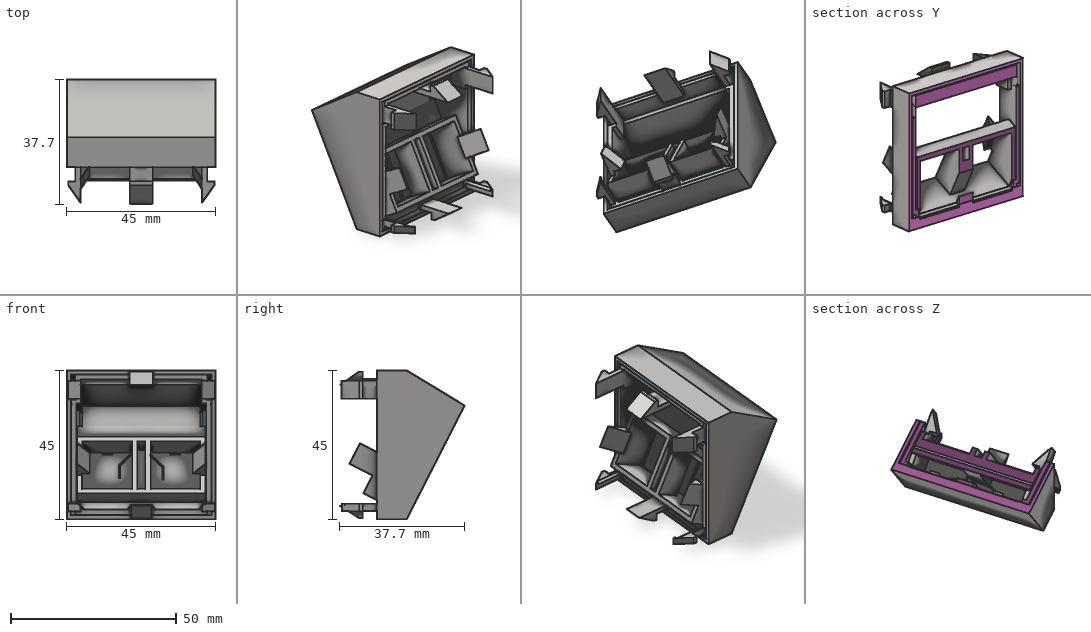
import cadquery as cq
import math

TILT = 27.0
SIN_TILT = math.sin(math.radians(TILT))
COS_TILT = math.cos(math.radians(TILT))

SIZE = 45.0
HALF = SIZE / 2
RIM_DEPTH = 9.0
APEX_HEIGHT = 34.4
WALL = 1.2
apex_depth = RIM_DEPTH + APEX_HEIGHT * math.tan(math.radians(TILT))
roof_angle = math.atan2(SIZE - APEX_HEIGHT, apex_depth - RIM_DEPTH)
front_out = -RIM_DEPTH * COS_TILT
FRONT_WALL = 2.95
floor_out = front_out + FRONT_WALL

FIT_GAP = 0.2
FRAME_BAR = 1.5
frame_half = HALF - WALL - FIT_GAP
bay_half = frame_half - FRAME_BAR
BAY_BOTTOM_UP = 2.65
BAY_TOP_UP = 38.75
PANEL_THICKNESS = 1.12
panel_out = floor_out + PANEL_THICKNESS
MOUTH_TOP = 42.3
LEDGE_BOTTOM = 40.7
WINDOW_OUTER_X = 18.55

HOOK_REACH = 22.15
HOOK_Y = -4.28
LIP_Y = -5.4
STEM_OUTER = 20.0
UPPER_CLIP_TIP_Y = -10.75
LOWER_CLIP_TIP_Y = -10.58
SIDE_CLIP_INNER = 18.3
UPPER_CLIP_BOTTOM = 36.4
UPPER_CLIP_TOP = 41.85
LOWER_CLIP_BOTTOM = 2.48
LOWER_CLIP_TOP = 4.72
LOWER_CLIP_INNER = 18.5
CLIP_CHAMFER_END_Y = -9.68
UPPER_BLOCK_BOTTOM = 35.0
TOP_CLIP_WIDTH = 7.0
TOP_CLIP_TIP_Y = -11.05
BOTTOM_CLIP_WIDTH = 6.05
BOTTOM_CLIP_TIP_Y = -11.2
BOTTOM_CLIP_INNER = 18.45
CLIP_ROOT_DEPTH = 2.25
RAMP_TOP = 4.15
RAMP_BASE = 2.48
RAMP_SPREAD = 0.7
CORNER_RAMP = 3.05
RELIEF_DEPTH = 5.4

HOLDER_HALF = 19.4
BLOCK_BOTTOM_UP = 5.15
BLOCK_TOP_UP = 24.35
BLOCK_OUT = 7.25
FLANGE_TOP_OUT = 1.15
FLANGE_BOTTOM_OUT = -0.55
FLANGE_TOP_UP = 30.95
TONGUE_HALF = 17.78
TONGUE_TIP_OUT = -0.7
TONGUE_BOTTOM_OUT = -1.8
HOLDER_WALL = 1.55
POCKET_INNER_X = 2.8
SLOT_WIDTH = 2.4
pocket_outer_x = HOLDER_HALF - HOLDER_WALL
pocket_bottom_up = BLOCK_BOTTOM_UP + HOLDER_WALL
pocket_top_up = BLOCK_TOP_UP - HOLDER_WALL
TAB_BOTTOM_UP = 11.15
TAB_TOP_UP = 18.15
TAB_TIP_OUT = 15.05
TAB_BARB_OUT = 8.35
TAB_BARB_X = 15.52

shutter_outer_x = pocket_outer_x + FIT_GAP
SHUTTER_THICKNESS = 1.5
SHUTTER_BOTTOM_UP = 6.15
SHUTTER_TOP_UP = 27.9
SHUTTER_BEVEL_UP = 7.88
SHUTTER_BEVEL_DROP = 0.55
GRIP_WIDTH = 3.0
GRIP_UP = 24.5
GRIP_LENGTH = 0.68
GRIP_HEIGHT = 1.05
WIRE_RADIUS = 0.2
ARM_X = 6.55
ARM_END_UP = 15.35
ARM_BEND_UP = 19.58
SPRING_APEX_UP = 26.65
LEFT_ARM_OUT = -2.55
RIGHT_ARM_OUT = -3.75

OVERCUT = 0.45
BEYOND = 27.0


def tilted(up, out):
    """(Y, Z) of a point given along the slope and away from it."""
    return (up * SIN_TILT - out * COS_TILT, up * COS_TILT + out * SIN_TILT)


def side_prism(points, x_from, x_to):
    """Extrude a (Y, Z) outline along X."""
    return cq.Workplane("YZ").workplane(offset=x_from).polyline(points).close().extrude(x_to - x_from)


def tilted_box(x_from, x_to, up_from, up_to, out_from, out_to):
    """Box aligned with the sloped front."""
    corners = [(up_from, out_from), (up_to, out_from), (up_to, out_to), (up_from, out_to)]
    return side_prism([tilted(up, out) for up, out in corners], x_from, x_to)


def box(x_from, x_to, y_from, y_to, z_from, z_to):
    """Upright box between two corners."""
    return cq.Workplane("XY").box(
        x_to - x_from, y_to - y_from, z_to - z_from, centered=False
    ).translate((x_from, y_from, z_from))


def mirror_pair(shape):
    """A right-hand shape together with its left-hand twin."""
    return shape.union(shape.mirror("YZ"))


def shell_outline(inset):
    """Side outline inset from the outer walls, with its sloped side on the inner face of the front."""
    front_start = (inset * SIN_TILT - floor_out) / COS_TILT
    roof_slope = math.tan(roof_angle)
    roof_level = SIZE + RIM_DEPTH * roof_slope - inset / math.cos(roof_angle)
    roof_start = (roof_level - (SIZE - inset)) / roof_slope
    ridge_y = (roof_level * SIN_TILT - floor_out) / (COS_TILT + SIN_TILT * roof_slope)
    ridge_z = roof_level - ridge_y * roof_slope
    return [
        (0, inset), (front_start, inset), (ridge_y, ridge_z),
        (roof_start, SIZE - inset), (0, SIZE - inset),
    ]


def make_housing():
    """Hollow wedge-shaped cover, open at the rear, with a recess for each shutter."""
    outline = [(0, 0), (RIM_DEPTH, 0), (apex_depth, APEX_HEIGHT), (RIM_DEPTH, SIZE), (0, SIZE)]
    housing = side_prism(outline, -HALF, HALF)
    housing = housing.cut(side_prism(shell_outline(WALL), WALL - HALF, HALF - WALL))
    recess = tilted_box(
        POCKET_INNER_X, shutter_outer_x, SHUTTER_BOTTOM_UP, SHUTTER_TOP_UP,
        floor_out - SHUTTER_THICKNESS, floor_out + OVERCUT,
    )
    return housing.cut(mirror_pair(recess))


def clip_outline(inner, tip_y):
    """Hooked clip as (distance from the centre, Y)."""
    return [
        (inner, CLIP_ROOT_DEPTH), (STEM_OUTER, CLIP_ROOT_DEPTH), (STEM_OUTER, HOOK_Y),
        (HOOK_REACH, HOOK_Y), (HOOK_REACH, LIP_Y), (inner, tip_y),
    ]


def side_clip(z_from, z_to, inner, tip_y):
    outline = clip_outline(inner, tip_y)
    return cq.Workplane("XY").workplane(offset=z_from).polyline(outline).close().extrude(z_to - z_from)


def centre_clip(direction, width, inner, tip_y):
    """Clip at the middle of the top (direction 1) or bottom (direction -1) bar."""
    outline = clip_outline(inner, tip_y)
    points = [(y, HALF + direction * distance) for distance, y in outline]
    return side_prism(points, -width / 2, width / 2)


def corner_triangle(leg, y_from, y_to):
    """Wedge in the lower right corner of the frame bay, with a 45 degree slope facing up and inward."""
    corner_x = HALF - RAMP_BASE
    points = [(corner_x, RAMP_BASE), (corner_x - leg, RAMP_BASE), (corner_x, RAMP_BASE + leg)]
    return cq.Workplane("XZ").workplane(offset=-y_from).polyline(points).close().extrude(y_from - y_to)


def ramps(gap):
    """Sloping buttresses beside the three lower clips, grown by gap."""
    half_top = BOTTOM_CLIP_WIDTH / 2 + gap
    top = RAMP_TOP + gap
    half_base = half_top + RAMP_SPREAD * (top - RAMP_BASE)
    points = [(-half_base, RAMP_BASE), (half_base, RAMP_BASE), (half_top, top), (-half_top, top)]
    middle = cq.Workplane("XZ").polyline(points).close().extrude(-CLIP_ROOT_DEPTH - gap)
    return middle.union(mirror_pair(corner_triangle(CORNER_RAMP + gap, 0, CLIP_ROOT_DEPTH + gap)))


def lower_side_clip():
    """Lower right clip; the corner slope carries on along it as a chamfer that stops short of the tip."""
    clip = side_clip(LOWER_CLIP_BOTTOM, LOWER_CLIP_TOP, LOWER_CLIP_INNER, LOWER_CLIP_TIP_Y)
    chamfer_zone = box(0, HALF, CLIP_CHAMFER_END_Y, CLIP_ROOT_DEPTH, 0, HALF)
    kept = corner_triangle(CORNER_RAMP, CLIP_CHAMFER_END_Y, CLIP_ROOT_DEPTH)
    hook_side = box(STEM_OUTER, HALF, CLIP_CHAMFER_END_Y, CLIP_ROOT_DEPTH, 0, HALF)
    return clip.cut(chamfer_zone.cut(kept).cut(hook_side))


def make_frame():
    """Insert that fits the housing, with a tilted bay for the jack holder and six snap clips."""
    frame = side_prism(shell_outline(WALL + FIT_GAP), -frame_half, frame_half)
    ledge_y = (BAY_TOP_UP - LEDGE_BOTTOM * COS_TILT) / SIN_TILT
    bay = [
        tilted(BAY_BOTTOM_UP, panel_out), tilted(BAY_TOP_UP, panel_out),
        (ledge_y, LEDGE_BOTTOM), (ledge_y, MOUTH_TOP), (-OVERCUT, MOUTH_TOP),
        (-OVERCUT, (BAY_BOTTOM_UP + OVERCUT * SIN_TILT) / COS_TILT),
    ]
    frame = frame.cut(side_prism(bay, -bay_half, bay_half))
    window = tilted_box(
        POCKET_INNER_X, WINDOW_OUTER_X, pocket_bottom_up - FIT_GAP, BAY_TOP_UP,
        floor_out - OVERCUT, panel_out + OVERCUT,
    )
    frame = frame.cut(mirror_pair(window))

    block = box(SIDE_CLIP_INNER, bay_half, 0, ledge_y, UPPER_BLOCK_BOTTOM, MOUTH_TOP)
    frame = frame.union(mirror_pair(block)).union(ramps(0))

    for z_from, z_to in ((UPPER_CLIP_BOTTOM, SIZE), (0, LOWER_CLIP_TOP)):
        frame = frame.cut(mirror_pair(box(STEM_OUTER, HALF, 0, BEYOND, z_from, z_to)))
    half_width = BOTTOM_CLIP_WIDTH / 2
    frame = frame.cut(box(-half_width, half_width, 0, RELIEF_DEPTH, 0, HALF - STEM_OUTER))

    upper_clip = side_clip(UPPER_CLIP_BOTTOM, UPPER_CLIP_TOP, SIDE_CLIP_INNER, UPPER_CLIP_TIP_Y)
    frame = frame.union(mirror_pair(upper_clip)).union(mirror_pair(lower_side_clip()))
    frame = frame.union(centre_clip(1, TOP_CLIP_WIDTH, LEDGE_BOTTOM - HALF, TOP_CLIP_TIP_Y))
    return frame.union(centre_clip(-1, BOTTOM_CLIP_WIDTH, BOTTOM_CLIP_INNER, BOTTOM_CLIP_TIP_Y))


def retaining_tab():
    """Barbed tab on the right edge of the holder; its barb overhangs the pocket."""
    slope_plane = cq.Plane(
        origin=(0, *tilted(TAB_BOTTOM_UP, 0)), xDir=(1, 0, 0), normal=(0, SIN_TILT, COS_TILT)
    )
    points = [
        (HOLDER_HALF, -BLOCK_OUT), (HOLDER_HALF, -TAB_TIP_OUT), (TAB_BARB_X, -TAB_BARB_OUT),
        (pocket_outer_x, -TAB_BARB_OUT), (pocket_outer_x, -BLOCK_OUT),
    ]
    return cq.Workplane(slope_plane).polyline(points).close().extrude(TAB_TOP_UP - TAB_BOTTOM_UP)


def make_holder():
    """Tilted block with two jack pockets on a flange that ends in a tapered tongue."""
    holder = tilted_box(
        -HOLDER_HALF, HOLDER_HALF, BLOCK_BOTTOM_UP, BLOCK_TOP_UP, FLANGE_BOTTOM_OUT, BLOCK_OUT
    )
    flange = tilted_box(
        -HOLDER_HALF, HOLDER_HALF, BAY_BOTTOM_UP, FLANGE_TOP_UP, FLANGE_BOTTOM_OUT, FLANGE_TOP_OUT
    )
    tongue_profile = [
        (FLANGE_TOP_UP, FLANGE_TOP_OUT), (BAY_TOP_UP, TONGUE_TIP_OUT),
        (BAY_TOP_UP, TONGUE_BOTTOM_OUT), (FLANGE_TOP_UP, TONGUE_BOTTOM_OUT),
    ]
    tongue = side_prism([tilted(*point) for point in tongue_profile], -TONGUE_HALF, TONGUE_HALF)
    skirt = tilted_box(
        -HOLDER_HALF, HOLDER_HALF, BLOCK_BOTTOM_UP, pocket_bottom_up, panel_out, FLANGE_BOTTOM_OUT
    )
    leg = tilted_box(
        pocket_outer_x, HOLDER_HALF, pocket_bottom_up, BLOCK_TOP_UP, panel_out, FLANGE_BOTTOM_OUT
    )
    holder = holder.union(flange).union(tongue).union(skirt).union(mirror_pair(leg))

    pocket = tilted_box(
        POCKET_INNER_X, pocket_outer_x, pocket_bottom_up, pocket_top_up,
        FLANGE_BOTTOM_OUT - OVERCUT, BLOCK_OUT + OVERCUT,
    )
    slot = tilted_box(
        -SLOT_WIDTH / 2, SLOT_WIDTH / 2, pocket_bottom_up, pocket_top_up, FLANGE_TOP_OUT, BLOCK_OUT + OVERCUT
    )
    holder = holder.cut(mirror_pair(pocket)).cut(slot)
    holder = holder.union(mirror_pair(retaining_tab()))
    return holder.cut(ramps(FIT_GAP))


def make_shutter():
    """Right shutter: a plate set flush in the sloped front, with a bevelled lower end and a grip."""
    back_out = floor_out - SHUTTER_THICKNESS
    grip_end_up = GRIP_UP + GRIP_LENGTH
    plate_profile = [
        (SHUTTER_BOTTOM_UP, back_out), (SHUTTER_BOTTOM_UP, floor_out - SHUTTER_BEVEL_DROP),
        (SHUTTER_BEVEL_UP, floor_out), (SHUTTER_TOP_UP, floor_out), (SHUTTER_TOP_UP, back_out),
    ]
    grip_profile = [(GRIP_UP, floor_out), (grip_end_up, floor_out), (grip_end_up, floor_out + GRIP_HEIGHT)]
    plate = side_prism([tilted(*point) for point in plate_profile], POCKET_INNER_X, shutter_outer_x)
    grip_from = (POCKET_INNER_X + pocket_outer_x - GRIP_WIDTH) / 2
    grip = side_prism([tilted(*point) for point in grip_profile], grip_from, grip_from + GRIP_WIDTH)
    return plate.union(grip)


def make_spring():
    """Bent wire with two arms at different depths, joined at the centre."""
    path = [
        (-ARM_X, ARM_END_UP, LEFT_ARM_OUT), (-ARM_X, ARM_BEND_UP, LEFT_ARM_OUT),
        (0, SPRING_APEX_UP, LEFT_ARM_OUT), (0, SPRING_APEX_UP, RIGHT_ARM_OUT),
        (ARM_X, ARM_BEND_UP, RIGHT_ARM_OUT), (ARM_X, ARM_END_UP, RIGHT_ARM_OUT),
    ]
    points = [cq.Vector(x, *tilted(up, out)) for x, up, out in path]
    wire = cq.Workplane("XY")
    for start, end in zip(points, points[1:]):
        run = end - start
        wire = wire.union(cq.Workplane(cq.Solid.makeCylinder(WIRE_RADIUS, run.Length, start, run)))
    for bend in points[1:-1]:
        wire = wire.union(cq.Workplane("XY").sphere(WIRE_RADIUS).translate(bend.toTuple()))
    return wire


housing = make_housing()
frame = make_frame()
holder = make_holder()
right_shutter = make_shutter()
shutters = [right_shutter, right_shutter.mirror("YZ")]
spring = make_spring()

result = cq.Compound.makeCompound([
    housing.solids().val(),
    frame.solids().val(),
    holder.solids().val(),
    *[shutter.solids().val() for shutter in shutters],
    spring.solids().val(),
])